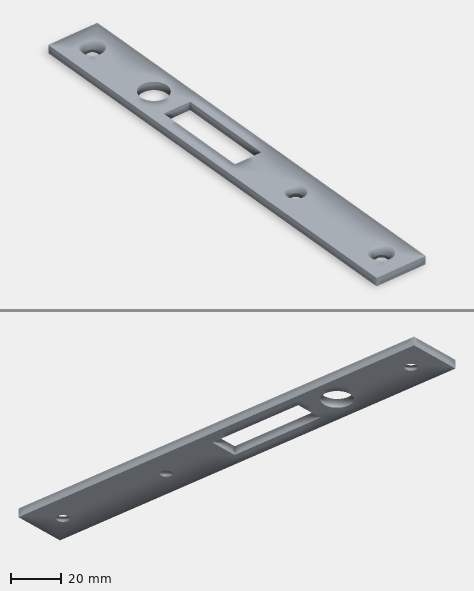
import cadquery as cq

plate_length = 210.0
plate_width = 25.0
plate_thickness = 4.0
left_end = -plate_length / 2

end_hole_inset = 12.5
end_hole_diameter = 5.5
end_sink_diameter = 11.0
middle_hole_x = left_end + 142.5
middle_hole_diameter = 5.0
middle_sink_diameter = 9.5
sink_angle = 90.0

opening_height = 13.5
round_opening_x = left_end + 51.9
window_start = left_end + 66.5
window_length = 45.5


def cut_screw_hole(body, x, hole_diameter, sink_diameter):
    """Cut a through hole countersunk from the top face."""
    return (
        body.faces(">Z")
        .workplane(origin=(0, 0, plate_thickness))
        .center(x, 0)
        .cskHole(hole_diameter, sink_diameter, sink_angle)
    )


plate = cq.Workplane("XY").box(plate_length, plate_width, plate_thickness, centered=(True, True, False))

round_opening = (
    cq.Workplane("XY")
    .center(round_opening_x, 0)
    .circle(opening_height / 2)
    .extrude(plate_thickness)
)
window = (
    cq.Workplane("XY")
    .center(window_start + window_length / 2, 0)
    .rect(window_length, opening_height)
    .extrude(plate_thickness)
)
plate = plate.cut(round_opening).cut(window)

end_hole_x = plate_length / 2 - end_hole_inset
for x in (-end_hole_x, end_hole_x):
    plate = cut_screw_hole(plate, x, end_hole_diameter, end_sink_diameter)
plate = cut_screw_hole(plate, middle_hole_x, middle_hole_diameter, middle_sink_diameter)

result = plate